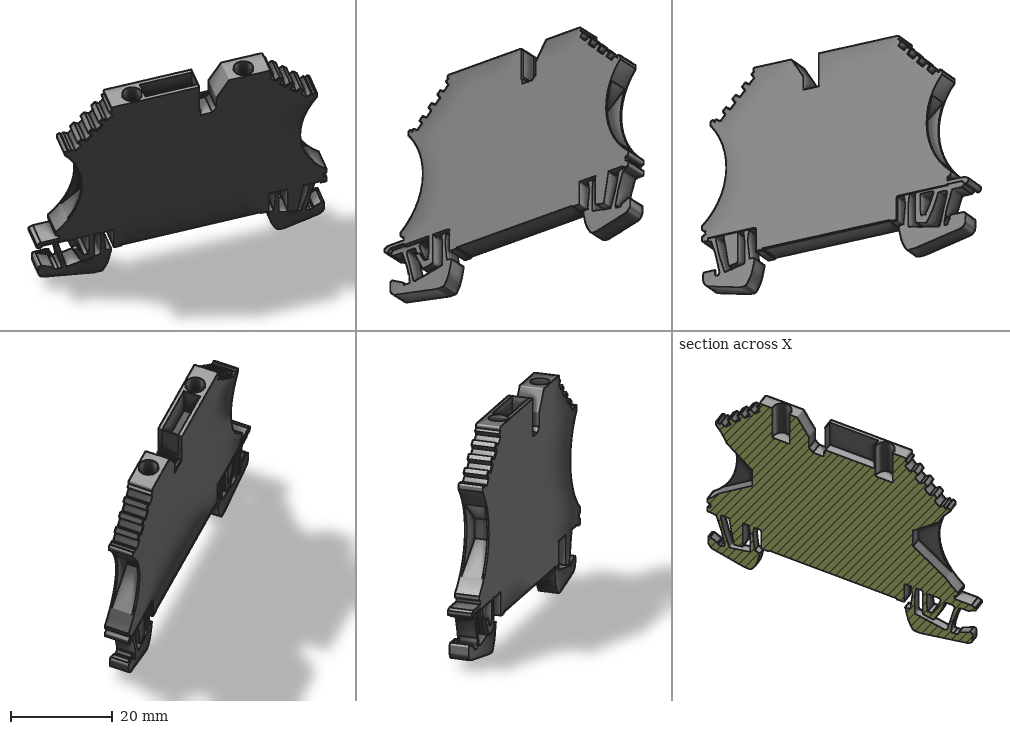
import cadquery as cq
import math


thickness = 5.1
height = 46.25
half_length = 28.0
top_half_length = 16.95
grip_bevel = 0.15
edge_chamfer = 0.2

flank_radius = 14.8
flank_waist = 22.53
flank_level = 26.3
flank_top = 35.9
flank_bottom = 16.2

groove_count = 4
groove_pitch = 2.18
groove_depth = 1.05
groove_floor_width = 1.54
groove_mouth_width = 1.92
tooth_start = (16.92, 44.95)
tooth_end = (24.8, 37.07)
first_groove = (16.79, 43.5)

underside = 11.8
keel_half_length = 16.0
keel_bottom = 7.03
keel_lip_bottom = 6.77
keel_lip_length = 1.6
keel_lip_slope = 0.25

lever_tip = 32.0
lever_top = 12.9
lever_underside = 12.13
lever_nose_bottom = 11.4
lever_root = 27.25
heel_groove_top = 13.6
lever_nose_radius = (lever_top - lever_nose_bottom) / 2

notch_near = 1.69
notch_far = 5.22
notch_floor = 39.33
notch_slope_bottom = 42.1
notch_slope_top = 7.85
notch_brow_radius = 0.4
notch_knee_radius = 0.3
notch_front_wall = 0.7
notch_well_floor = 38.3
notch_well_gap = 0.3
notch_well_bevel = 0.9
screw_hole_diameter = 3.9
screw_hole_offset = 11.5
screw_hole_x = 2.88
screw_hole_depth = 8.0
marker_slot_x = (0.83, 4.3)
marker_slot_y = (-9.2, 1.55)
marker_slot_depth = 6.0

funnel_x = (0.42, 4.7)
funnel_mouth_z = (17.6, 32.0)
funnel_throat_z = (23.03, 27.18)
funnel_throat_y = 18.0

foot_front = 0.1
foot_back = 4.15
hook_wall_back = 0.5
foot_root = 12.0
brace_top = 8.76

joint_tolerance = 1e-6
overlap = 0.1
clearance = 1.0


def rounded_outline(corners):
    """Closed YZ outline from (y, z) or (y, z, radius) corners; a radius rounds its corner."""
    stretches = []
    for index, corner in enumerate(corners):
        point = cq.Vector(corner[0], corner[1])
        if len(corner) == 2:
            stretches.append((point,))
            continue
        before = corners[index - 1]
        after = corners[(index + 1) % len(corners)]
        to_before = (cq.Vector(before[0], before[1]) - point).normalized()
        to_after = (cq.Vector(after[0], after[1]) - point).normalized()
        half_angle = to_before.getAngle(to_after) / 2
        bisector = (to_before + to_after).normalized()
        setback = corner[2] / math.tan(half_angle)
        to_arc = corner[2] / math.sin(half_angle) - corner[2]
        stretches.append((
            point + to_before * setback,
            point + bisector * to_arc,
            point + to_after * setback,
        ))
    first = stretches[0][0]
    outline = cq.Workplane("YZ").moveTo(first.x, first.y)
    for index, stretch in enumerate(stretches):
        if index > 0 and (stretch[0] - stretches[index - 1][-1]).Length > joint_tolerance:
            outline = outline.lineTo(stretch[0].x, stretch[0].y)
        if len(stretch) == 3:
            outline = outline.threePointArc(stretch[1].toTuple()[:2], stretch[2].toTuple()[:2])
    return outline.close()


def plate(corners, x_start, x_end):
    """Flat plate with the given YZ outline between two X positions."""
    return rounded_outline(corners).extrude(x_end - x_start).translate((x_start, 0, 0))


def mirrored(corners):
    """The same corners on the other side of Y = 0, in reverse order."""
    return [(-corner[0], *corner[1:]) for corner in reversed(corners)]


def flank_y(z):
    """Half length of the housing at a level on the concave flank."""
    return flank_waist + flank_radius - math.sqrt(flank_radius**2 - (z - flank_level) ** 2)


def upper_side():
    """Corners of the +Y side from the flat top down to the shoulder above the foot."""
    return [
        (top_half_length, height, 0.45),
        (16.25, 45.4),
        tooth_start,
        tooth_end,
        (25.2, 36.5),
        (25.55, 37.04),
        (flank_y(flank_top), 36.75, 0.3),
        (flank_y(flank_top), flank_top),
        (flank_y(flank_bottom), flank_bottom),
        (half_length, 14.9, 0.35),
        (half_length, 13.95, 0.45),
    ]


def keel_side():
    """Corners of the +Y half of the underside, from the foot to the middle."""
    lip_end = keel_half_length - keel_lip_length
    return [
        (keel_half_length, underside, 0.3),
        (keel_half_length, keel_lip_bottom, 0.25),
        (lip_end, keel_lip_bottom),
        (lip_end - keel_lip_slope, keel_bottom),
    ]


def housing():
    """Full-thickness body with both flanks, the keel and the lever."""
    heel_side = [
        (lever_root, heel_groove_top),
        (lever_root, 12.95),
        (half_length, 12.5, 0.2),
        (half_length, 11.42, 0.4),
        (26.75, 11.42),
        (26.6, underside),
    ]
    lever_side = [
        (-lever_root, underside),
        (-lever_root, lever_underside),
        (-30.45, lever_underside),
        (-31.2, lever_nose_bottom),
        (-lever_tip, lever_nose_bottom, lever_nose_radius),
        (-lever_tip, lever_top, lever_nose_radius),
        (-lever_root, lever_top),
        (-lever_root, heel_groove_top),
    ]
    corners = upper_side() + heel_side + keel_side()
    corners += mirrored(keel_side()) + lever_side + mirrored(upper_side())
    return plate(corners, 0, thickness)


def flank_cutters():
    """Two cylinders along X that hollow the flanks."""
    centre = flank_waist + flank_radius
    return (
        cq.Workplane("YZ")
        .pushPoints([(-centre, flank_level), (centre, flank_level)])
        .circle(flank_radius)
        .extrude(thickness)
    )


def groove_cutter(side, index):
    """Trapezoidal groove square to the 45 degree shoulder; side is +1 or -1."""
    flare = (groove_mouth_width - groove_floor_width) / 2 / groove_depth
    reach = groove_depth + clearance / 2
    half_floor = groove_floor_width / 2
    half_mouth = half_floor + flare * reach
    return (
        cq.Workplane("YZ")
        .polyline([(-half_floor, 0), (half_floor, 0), (half_mouth, reach), (-half_mouth, reach)])
        .close()
        .extrude(thickness)
        .rotate((0, 0, 0), (1, 0, 0), -45 * side)
        .translate((
            0,
            side * (first_groove[0] + index * groove_pitch),
            first_groove[1] - index * groove_pitch,
        ))
    )


def notch_cutter():
    """Notch across the top with one sloping side."""
    corners = [
        (notch_near, height + clearance),
        (notch_near, notch_floor),
        (notch_far, notch_floor),
        (notch_far, notch_slope_bottom, notch_knee_radius),
        (notch_slope_top, height, notch_brow_radius),
        (notch_slope_top + clearance, height),
        (notch_slope_top + clearance, height + clearance),
    ]
    return plate(corners, 0, thickness)


def notch_well_cutter():
    """Deeper part of the notch behind its thin front wall."""
    corners = [
        (notch_near + notch_well_gap, notch_floor),
        (notch_near + notch_well_gap, notch_well_floor),
        (notch_far - notch_well_bevel, notch_well_floor),
        (notch_far, notch_well_floor + notch_well_bevel),
        (notch_far, notch_floor),
    ]
    return plate(corners, notch_front_wall, thickness)


def top_sockets():
    """Two screw holes and the marker slot."""
    holes = (
        cq.Workplane("XY", origin=(0, 0, height))
        .pushPoints([(screw_hole_x, -screw_hole_offset), (screw_hole_x, screw_hole_offset)])
        .circle(screw_hole_diameter / 2)
        .extrude(-screw_hole_depth)
    )
    slot = cq.Workplane("XY").box(
        marker_slot_x[1] - marker_slot_x[0],
        marker_slot_y[1] - marker_slot_y[0],
        marker_slot_depth,
        centered=False,
    )
    slot = slot.translate((marker_slot_x[0], marker_slot_y[0], height - marker_slot_depth))
    return holes.union(slot)


def funnel_cutter(side):
    """Wire entry that narrows in height towards its throat; side is +1 or -1."""
    corners = [
        (funnel_throat_y, funnel_throat_z[0]),
        (flank_y(funnel_mouth_z[0]), funnel_mouth_z[0]),
        (half_length, funnel_mouth_z[0]),
        (half_length, funnel_mouth_z[1]),
        (flank_y(funnel_mouth_z[1]), funnel_mouth_z[1]),
        (funnel_throat_y, funnel_throat_z[1]),
    ]
    if side < 0:
        corners = mirrored(corners)
    return plate(corners, *funnel_x)


def plus_foot():
    """Clip foot on the +Y side: two legs joined by a hooked shoe."""
    outer = [
        (26.6, foot_root),
        (26.75, 11.42),
        (25.98, 11.2, 0.3),
        (24.9, 7.9, 20),
        (24.15, 4.3),
        (24.25, 3.65, 0.35),
        (25.05, 3.55, 0.35),
        (25.2, 4.9),
        (27.81, 4.9, 0.5),
        (27.81, 2.0, 1.8),
        (19.5, 0, 2.0),
        (18.15, 0, 1.0),
        (16.9, 2.0, 7),
        (16.15, 5.47),
        (17.33, 5.73),
        (17.75, 9.8, 6),
        (17.4, foot_root),
    ]
    window = [
        (25.0, underside, 0.35),
        (24.2, 7.9, 25),
        (22.95, 3.95, 0.3),
        (18.41, 4.87, 0.45),
        (18.41, 9.5, 6),
        (18.7, underside, 0.3),
    ]
    post = [
        (19.94, foot_root),
        (19.94, 5.4, 0.5),
        (22.0, 5.02, 0.3),
        (23.2, foot_root),
    ]
    ramp = [
        (24.6, 5.0),
        (24.6, 3.62),
        (25.4, 3.62),
        (25.6, 4.05),
        (27.25, 4.88),
        (27.25, 5.0),
    ]
    clip = plate(outer, foot_front, foot_back).cut(plate(ramp, hook_wall_back, foot_back))
    clip = clip.cut(plate(window, foot_front, foot_back))
    return clip.union(plate(post, foot_front, thickness))


def minus_foot():
    """Clip foot on the -Y side, braced under the release lever."""
    outer = [
        (-17.4, foot_root),
        (-17.75, 9.8, 6),
        (-17.33, 5.73),
        (-16.15, 5.47),
        (-16.9, 2.0, 7),
        (-18.0, 0, 0.7),
        (-19.8, 0, 2.0),
        (-31.25, 2.3, 1.6),
        (-31.3, 5.47, 0.6),
        (-27.95, 5.47, 0.4),
        (-27.15, 3.5, 0.35),
        (-26.4, 3.5, 0.35),
        (-27.0, 7.0, 20),
        (-28.3, 10.88, 0.4),
        (-30.4, 10.88),
        (-31.2, lever_nose_bottom),
        (-30.45, lever_underside + overlap),
        (-27.0, lever_underside + overlap),
    ]
    window = [
        (-18.65, underside, 0.3),
        (-18.38, 9.5, 6),
        (-18.38, 4.87, 0.5),
        (-25.45, 3.45, 0.5),
        (-27.3, 10.88, 0.5),
        (-25.15, 10.88, 0.5),
        (-24.15, 7.8, 20),
        (-22.55, 4.95, 0.2),
        (-20.02, 5.4, 0.5),
        (-20.02, underside, 0.3),
    ]
    eye = [
        (-21.1, 11.4, 0.3),
        (-21.1, 8.0),
        (-21.3, 6.77),
        (-22.2, 6.77),
        (-23.3, 8.7, 15),
        (-24.2, 11.4, 0.4),
    ]
    rear_post = [
        (-20.02, foot_root),
        (-20.02, 5.4, 0.5),
        (-22.55, 4.95, 0.2),
        (-24.4, brace_top),
        (-23.35, brace_top),
        (-22.2, 6.77),
        (-21.3, 6.77),
        (-21.1, 8.0),
        (-21.1, foot_root),
    ]
    ramp = [
        (-26.6, 5.6),
        (-26.6, 3.55, 0.3),
        (-27.9, 3.55),
        (-28.15, 4.2),
        (-30.65, 5.45),
        (-30.65, 5.6),
    ]
    clip = plate(outer, foot_front, foot_back).cut(plate(ramp, hook_wall_back, foot_back))
    clip = clip.cut(plate(window, foot_front, foot_back)).cut(plate(eye, foot_front, foot_back))
    return clip.union(plate(rear_post, foot_back, thickness))


def face_edges(x, low, high):
    """Selector for the edges lying at one X whose middles fall in a YZ box."""
    slack = overlap / 5
    return cq.selectors.BoxSelector(
        (x - slack, min(low[0], high[0]) - slack, low[1] - slack),
        (x + slack, max(low[0], high[0]) + slack, high[1] + slack),
    )


def bevel_grip(block):
    """Bevel the teeth along both broad faces."""
    for side in (1, -1):
        low = (tooth_start[0] * side, tooth_end[1])
        high = (tooth_end[0] * side, tooth_start[1])
        for face_x in (0, thickness):
            block = block.edges(face_edges(face_x, low, high)).chamfer(grip_bevel)
    return block


def bevel_underside(block):
    """Bevel the front edges of the underside, the keel and the notch floor."""
    under = face_edges(0, (-lever_root, keel_lip_bottom), (26.6, underside))
    block = block.edges(under).chamfer(edge_chamfer)
    floor = face_edges(0, (notch_near, notch_floor), (notch_far, notch_floor))
    return block.edges(floor).chamfer(edge_chamfer)


body = housing().cut(flank_cutters())
for side in (1, -1):
    for index in range(groove_count):
        body = body.cut(groove_cutter(side, index))
    body = body.cut(funnel_cutter(side))
body = body.cut(notch_cutter())
body = bevel_grip(bevel_underside(body))

result = body.cut(notch_well_cutter()).cut(top_sockets()).union(plus_foot()).union(minus_foot())